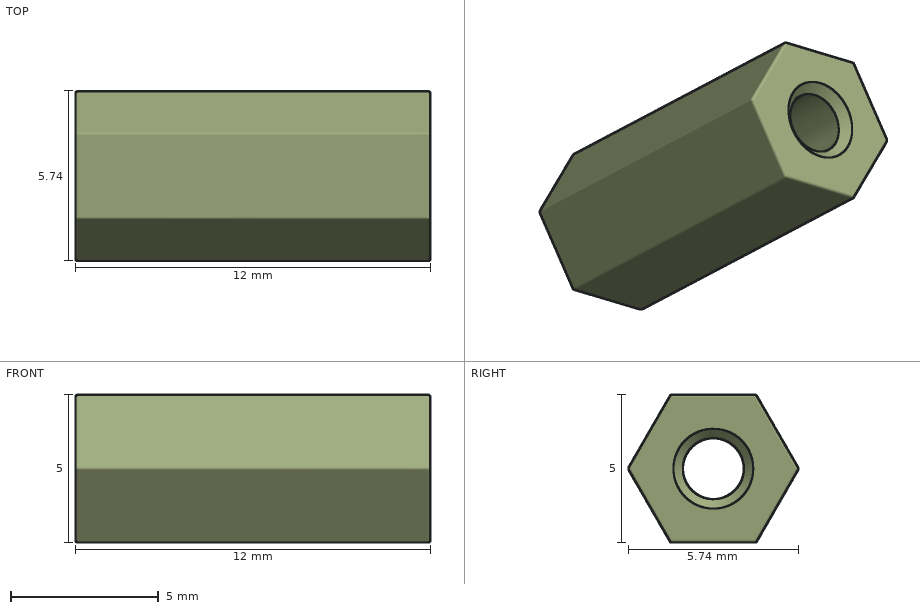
import cadquery as cq
import math

length = 12.0
across_flats = 5.0
edge_radius = 0.1
bore_diameter = 2.05
countersink_diameter = 2.7
countersink_angle = 90.0

across_corners = across_flats / math.cos(math.pi / 6)
countersink_depth = (
    (countersink_diameter - bore_diameter) / 2 / math.tan(math.radians(countersink_angle / 2))
)


def make_body():
    """Hexagonal bar centred on the origin, with all its edges rounded."""
    bar = cq.Workplane("YZ").polygon(6, across_corners).extrude(length / 2, both=True)
    return bar.edges().fillet(edge_radius)


def make_bore():
    """Through bore with a countersink at each end, as one revolved cutter."""
    bore_radius = bore_diameter / 2
    countersink_radius = countersink_diameter / 2
    end = length / 2
    cone_base = end - countersink_depth
    profile = [
        (-end, 0),
        (-end, countersink_radius),
        (-cone_base, bore_radius),
        (cone_base, bore_radius),
        (end, countersink_radius),
        (end, 0),
    ]
    return cq.Workplane("XY").polyline(profile).close().revolve(360, (0, 0, 0), (1, 0, 0))


result = make_body().cut(make_bore())